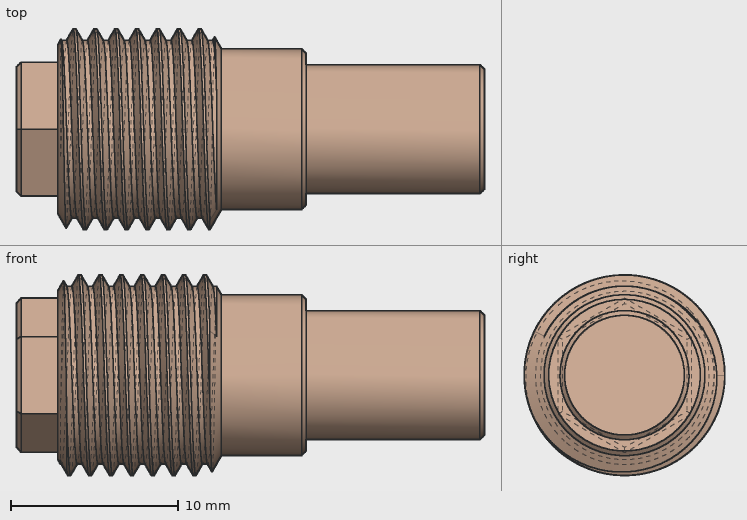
import cadquery as cq
import math

total_length = 28.0
edge_chamfer = 0.28

hex_length = 2.45
hex_across_flats = 8.0

thread_end = 12.25
thread_diameter = 12.0
thread_radius = thread_diameter / 2
pitch = 1.25
flank_angle = math.radians(30)
crest_width = pitch / 8
root_width = pitch / 4
thread_depth = (pitch - crest_width - root_width) / 2 / math.tan(flank_angle)
root_radius = thread_radius - thread_depth
front_face_radius = 5.05
crest_position = 3.47

collar_end = 17.33
collar_radius = 4.82
shaft_radius = 3.85


def make_hex_head():
    across_corners = hex_across_flats / math.cos(math.radians(30))
    head = (
        cq.Workplane("YZ")
        .polygon(6, across_corners)
        .extrude(hex_length)
        .rotate((0, 0, 0), (1, 0, 0), 30)
    )
    return head.faces("<X").chamfer(edge_chamfer)


def make_turned_body():
    """Thread blank, collar and shaft as one turned profile."""
    front_bevel = (thread_radius - front_face_radius) * math.tan(flank_angle)
    rear_bevel = (thread_radius - collar_radius) * math.tan(flank_angle)
    profile = [
        (hex_length, 0),
        (hex_length, front_face_radius),
        (hex_length + front_bevel, thread_radius),
        (thread_end - rear_bevel, thread_radius),
        (thread_end, collar_radius),
        (collar_end - edge_chamfer, collar_radius),
        (collar_end, collar_radius - edge_chamfer),
        (collar_end, shaft_radius),
        (total_length - edge_chamfer, shaft_radius),
        (total_length, shaft_radius - edge_chamfer),
        (total_length, 0),
    ]
    return cq.Workplane("XZ").polyline(profile).close().revolve(360, (0, 0, 0), (1, 0, 0))


def make_groove_turn():
    """One right-handed turn of the thread groove, starting on the +Y side at X = 0."""
    overcut = 0.05
    half_root = root_width / 2
    half_mouth = half_root + (thread_depth + overcut) * math.tan(flank_angle)
    mouth_radius = thread_radius + overcut

    path = cq.Wire.makeHelix(pitch, pitch, root_radius)
    groove = (
        cq.Workplane("XZ")
        .polyline([
            (root_radius, -half_root),
            (mouth_radius, -half_mouth),
            (mouth_radius, half_mouth),
            (root_radius, half_root),
        ])
        .close()
        .sweep(cq.Workplane(obj=path), isFrenet=True)
    )
    return groove.rotate((0, 0, 0), (1, 1, 1), 120)


def cut_thread(body):
    """Cut the groove turn by turn, running out past both ends of the thread."""
    groove_turn = make_groove_turn()
    first_groove = crest_position - 2.5 * pitch
    turn_count = math.ceil((thread_end - first_groove) / pitch) + 1
    for turn in range(turn_count):
        body = body.cut(groove_turn.translate((first_groove + turn * pitch, 0, 0)))
    return body


result = cut_thread(make_turned_body()).union(make_hex_head())